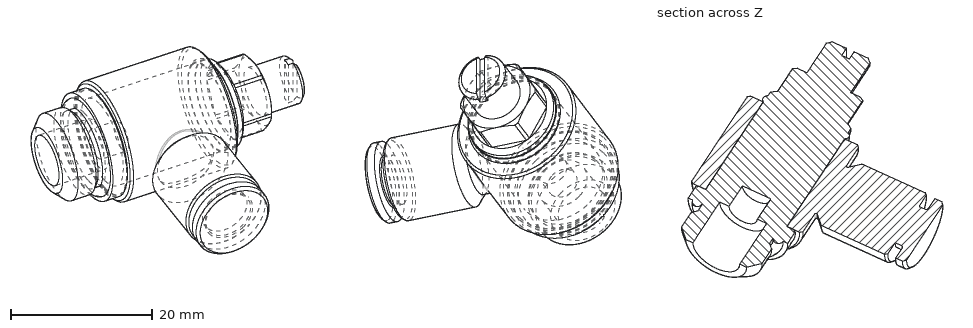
import cadquery as cq
import math


barrel_radius = 9.0
barrel_front = -8.5
barrel_back = 8.57
barrel_chamfer = 0.35
stem_fit_radius = 6.5

port_neck_radius = 4.5
port_radius = 6.0
port_cone_start = 9.25
port_cone_end = port_cone_start + port_radius - port_neck_radius
port_end = 21.35
port_chamfer_length = 0.35
port_chamfer_depth = 0.28
port_fillet = 0.2
collar_neck_radius = 3.55
collar_step_radius = 3.8
collar_step_start = 22.45
collar_start = 22.6
collar_end = 24.18
collar_radius = 5.8
collar_chamfer = 0.45

stem_front = -17.3
thread_radius = stem_fit_radius
thread_chamfer = 1.62
thread_back = -12.85
undercut_radius = 5.8
undercut_front = thread_back + thread_radius - undercut_radius
flange_front = -10.95
flange_back = -8.65
flange_radius = 8.05
spacer_radius = 7.82
seal_outer_radius = 7.3
seal_section_radius = (seal_outer_radius - undercut_radius) / 2
seal_ring_radius = seal_outer_radius - seal_section_radius

bore_radius = 3.75
bore_depth = 7.9
inner_bore_radius = 2.25
inner_bore_depth = 11.85

ring_outer_radius = 6.95
ring_side_radius = 6.65
ring_back = 9.7
ring_gap = 0.47
shoulder_chamfer_start = 10.5
hex_front = 11.1
hex_back = 15.9
hex_across_flats = 10.1
hex_corner_radius = 5.7
hex_chamfer_drop = 0.35
knob_radius = 3.55
knob_back = stem_front + 39.5
knob_chamfer = 0.65
slot_width = 1.2
slot_depth = 1.4


def rod_y(radius, start, end):
    """Cylinder on the Y axis between two stations."""
    return cq.Workplane("XZ", origin=(0, start, 0)).circle(radius).extrude(start - end)


def make_barrel():
    return rod_y(barrel_radius, barrel_front, barrel_back).faces("<Y or >Y").chamfer(barrel_chamfer)


def make_port():
    """Port and release collar turned about X."""
    profile = [
        (0, 0),
        (0, port_neck_radius),
        (port_cone_start, port_neck_radius),
        (port_cone_end, port_radius),
        (port_end - port_chamfer_length, port_radius),
        (port_end, port_radius - port_chamfer_depth),
        (port_end, collar_neck_radius),
        (collar_step_start, collar_neck_radius),
        (collar_start, collar_step_radius),
        (collar_start, collar_radius),
        (collar_end - collar_chamfer, collar_radius),
        (collar_end, collar_radius - collar_chamfer),
        (collar_end, 0),
    ]
    return cq.Workplane("XY").polyline(profile).close().revolve(360, (0, 0, 0), (1, 0, 0))


def make_housing():
    joint_zone = cq.selectors.BoxSelector(
        (barrel_radius / 2, -port_radius, -port_radius),
        (port_cone_start - port_fillet, port_radius, port_radius),
    )
    body = make_barrel().union(make_port())
    body = body.edges(joint_zone).fillet(port_fillet)
    return body.cut(rod_y(stem_fit_radius, barrel_front, barrel_back))


def make_stem_turning():
    """Turned stem from the thread tip to the face under the hexagon."""
    ring_middle = (barrel_back + ring_back) / 2
    return (
        cq.Workplane("XY")
        .moveTo(0, stem_front)
        .lineTo(thread_radius - thread_chamfer, stem_front)
        .lineTo(thread_radius, stem_front + thread_chamfer)
        .lineTo(thread_radius, thread_back)
        .lineTo(undercut_radius, undercut_front)
        .lineTo(undercut_radius, flange_front)
        .threePointArc((seal_ring_radius, flange_front - seal_section_radius), (seal_outer_radius, flange_front))
        .lineTo(flange_radius, flange_front)
        .lineTo(flange_radius, flange_back)
        .lineTo(spacer_radius, flange_back)
        .lineTo(spacer_radius, barrel_front)
        .lineTo(stem_fit_radius, barrel_front)
        .lineTo(stem_fit_radius, barrel_back)
        .lineTo(ring_side_radius, barrel_back)
        .threePointArc((ring_outer_radius, ring_middle), (ring_side_radius, ring_back))
        .lineTo(stem_fit_radius, ring_back)
        .lineTo(stem_fit_radius, shoulder_chamfer_start)
        .lineTo(hex_corner_radius, hex_front)
        .lineTo(0, hex_front)
        .close()
        .revolve(360, (0, 0, 0), (0, 1, 0))
    )


def make_hexagon():
    """Hexagon with flats facing +Z and -Z, its corners turned down and its back edge coned."""
    across_corners = hex_across_flats / math.cos(math.pi / 6)
    prism = (
        cq.Workplane("XZ", origin=(0, hex_front, 0))
        .polygon(6, across_corners)
        .extrude(hex_front - hex_back)
    )
    envelope = [
        (0, hex_front),
        (hex_corner_radius, hex_front),
        (hex_corner_radius, hex_back - hex_chamfer_drop),
        (hex_across_flats / 2, hex_back),
        (0, hex_back),
    ]
    turned = cq.Workplane("XY").polyline(envelope).close().revolve(360, (0, 0, 0), (0, 1, 0))
    return prism.intersect(turned)


def make_knob():
    """Round adjusting knob with a screwdriver slot along Z."""
    knob = rod_y(knob_radius, hex_back, knob_back).faces(">Y").chamfer(knob_chamfer)
    slot = cq.Workplane("XY").box(slot_width, 2 * slot_depth, 2 * knob_radius)
    return knob.cut(slot.translate((0, knob_back, 0)))


def make_ring_gap():
    """Gap between the ends of the snap ring, on the +Z side."""
    ring_width = ring_back - barrel_back
    ring_depth = ring_outer_radius - stem_fit_radius
    return (
        cq.Workplane("XY", origin=(0, barrel_back + ring_width / 2, stem_fit_radius))
        .rect(ring_gap, ring_width)
        .extrude(ring_depth)
    )


def make_stem():
    stem = make_stem_turning().union(make_hexagon()).union(make_knob())
    stem = stem.cut(make_ring_gap())
    stem = stem.cut(rod_y(bore_radius, stem_front, stem_front + bore_depth))
    return stem.cut(rod_y(inner_bore_radius, stem_front, stem_front + inner_bore_depth))


housing = make_housing()
stem = make_stem()

result = cq.Compound.makeCompound([housing.val(), stem.val()])